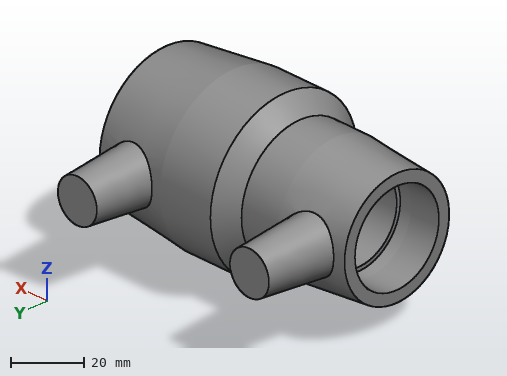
import cadquery as cq
import math

length = 90.0

small_end_dia = 40.0
small_body_dia = 44.0
large_body_dia = 56.0
large_end_dia = 50.4
small_taper_length = 24.0
shoulder_end_x = 44.0
shoulder_length = (large_body_dia - small_body_dia) / 2
large_taper_start_x = 63.7

small_socket_dia = 32.0
small_socket_straight_depth = 10.8
small_socket_depth = 14.8
small_socket_bottom_dia = 31.5
bore_dia = 28.8
large_socket_dia = 40.0
large_socket_depth = 18.0

post_tip_dia = 15.2
post_draft_angle = 5.0
small_post_x = 13.5
small_post_tip_y = 43.0
large_post_x = 76.4
large_post_tip_y = 47.0


def make_sleeve():
    """Solid of revolution of the outer profile about the X axis."""
    return (
        cq.Workplane("XY")
        .lineTo(0, small_end_dia / 2)
        .lineTo(small_taper_length, small_body_dia / 2)
        .lineTo(shoulder_end_x - shoulder_length, small_body_dia / 2)
        .lineTo(shoulder_end_x, large_body_dia / 2)
        .lineTo(large_taper_start_x, large_body_dia / 2)
        .lineTo(length, large_end_dia / 2)
        .lineTo(length, 0)
        .close()
        .revolve(360, (0, 0, 0), (1, 0, 0))
    )


def make_post(x, tip_y):
    """Cone from the sleeve axis to its tip, widening toward the sleeve."""
    tip_radius = post_tip_dia / 2
    root_radius = tip_radius + tip_y * math.tan(math.radians(post_draft_angle))
    return cq.Workplane(
        cq.Solid.makeCone(root_radius, tip_radius, tip_y, cq.Vector(x, 0, 0), cq.Vector(0, 1, 0))
    )


def make_bore(start_x, depth, diameter):
    """Cylinder along the sleeve axis."""
    return cq.Workplane("YZ").workplane(offset=start_x).circle(diameter / 2).extrude(depth)


def make_small_socket():
    """Straight entry followed by a slight cone down to the step at the bore."""
    return (
        cq.Workplane("XY")
        .lineTo(0, small_socket_dia / 2)
        .lineTo(small_socket_straight_depth, small_socket_dia / 2)
        .lineTo(small_socket_depth, small_socket_bottom_dia / 2)
        .lineTo(small_socket_depth, 0)
        .close()
        .revolve(360, (0, 0, 0), (1, 0, 0))
    )


result = (
    make_sleeve()
    .union(make_post(small_post_x, small_post_tip_y))
    .union(make_post(large_post_x, large_post_tip_y))
    .cut(make_bore(0, length, bore_dia))
    .cut(make_small_socket())
    .cut(make_bore(length - large_socket_depth, large_socket_depth, large_socket_dia))
)